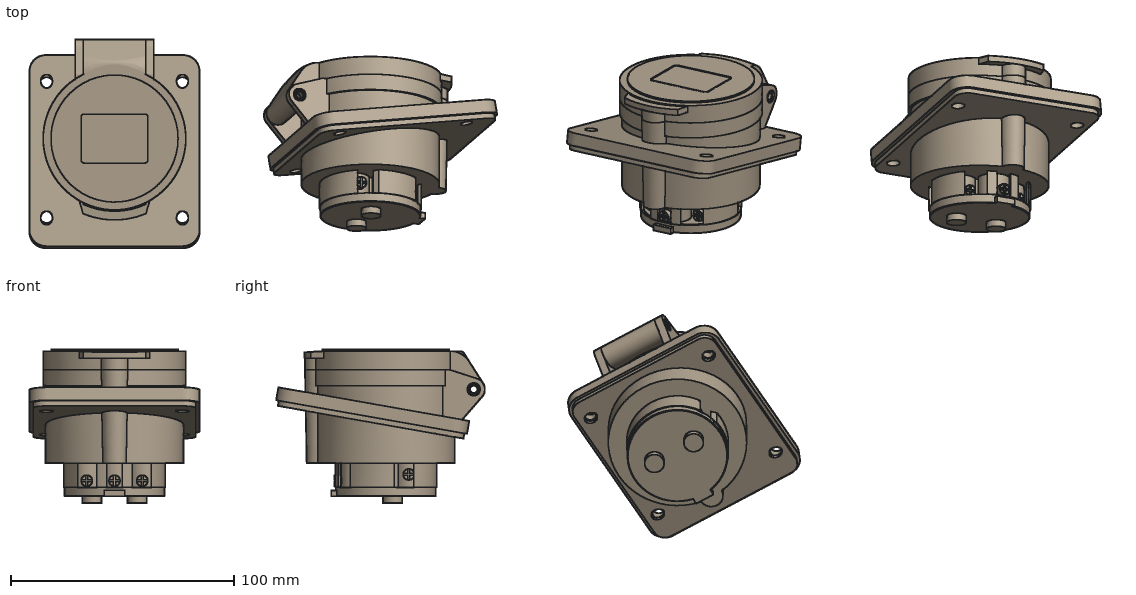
import cadquery as cq
import math

PIN_TIP_Z = 0.0
INSERT_BASE_Z = 3.05
TERMINAL_BASE_Z = 7.1
HOUSING_BASE_Z = 17.95
COLLAR_BASE_Z = 52.7
LID_BASE_Z = 59.85
LID_TOP_Z = 68.2
LABEL_DISC_TOP_Z = 68.95

HOUSING_RADIUS = 31.0
COLLAR_RADIUS = 32.0
LABEL_DISC_RADIUS = 57 / 2

LOBE_Y = -30.3
LOBE_RADIUS = 6.0
LOBE_FOOT_RADIUS = 10.5 / 2
LOBE_TAPER_TOP_Z = 58.25

FLANGE_TILT = 10.0
FLANGE_CENTRE_Y = -5.35
FLANGE_CENTRE_Z = 44.45
FLANGE_WIDTH = 76.4
FLANGE_LENGTH = 87.0
FLANGE_THICKNESS = 5.9
FLANGE_CORNER_RADIUS = 7.5
SEAL_STEP_THICKNESS = 2.4
SEAL_STEP_INSET_X = 1.7
SEAL_STEP_INSET_Y = 1.2
MOUNT_OVAL_WIDTH = 5.25
MOUNT_OVAL_LENGTH = 6.0
MOUNT_OVAL_X = 30.45
MOUNT_OVAL_PLACES = ((25.7, 24.8), (-35.65, -35.2))

HINGE_Y = 39.42
HINGE_Z = 51.05
HINGE_RADIUS = 5.05
HINGE_BLOCK_WIDTH = 27.8
CHEEK_THICKNESS = 3.7
CHEEK_TOP_CORNER_Y = 28.6
CHEEK_LOWER_EDGE_ANGLE = 49.0
CHEEK_FOOT_Z = 36.0
HINGE_BORE = 3.25
HINGE_RECESS_RIM = 5.75
HINGE_RECESS_FLOOR = 4.5
HINGE_RECESS_DEPTH = 0.5
BLOCK_TOP_CORNER_Y = 34.45
BLOCK_UNDERSIDE_Y = 28.6
BLOCK_UNDERSIDE_Z = 57.0
BLEND_SETBACK_MIDDLE = 1.2
BLEND_SETBACK_SIDE = 5.6

LABEL_WIDTH = 30.0
LABEL_HEIGHT = 22.0
LABEL_CORNER_RADIUS = 1.5
LABEL_DEPTH = 0.4
TAB_RADIUS = 36.5
TAB_ROOT_HALF_WIDTH = 16.15
TAB_ROOT_Y = -26.6
TAB_TIP_HALF_WIDTH = 14.1
TAB_ROOT_RADIUS = 32.6
TAB_BASE_Z = 65.05
TAB_ROOT_RIM_Z = 68.0
TAB_ROOT_Z = 68.1
TAB_TIP_Z = 67.75

TERMINAL_RADIUS = 22.85
INSERT_FLANGE_RADIUS = 45 / 2
INSERT_EDGE_CHAMFER = 0.3
KEY_WIDTH = 9.0
KEY_TIP_Y = -24.5
KEY_TOP_Z = 5.8
PIN_DIAMETER = 8.75
PIN_X = 10.15
PIN_Y = 3.1
TERMINAL_BORE_RADIUS = 42.5 / 2
FLOOR_RECESS_DEPTH = 0.2
CORE_RADIUS = 10.0
TOWER_RADIUS = 14.15 / 2
TOWER_PITCH_RADIUS = 13.1
TOWER_COUNT = 5
SCREW_DIAMETER = 5.0
SCREW_HEAD_HEIGHT = 3.0
SCREW_CROSS_WIDTH = 0.9
SCREW_CROSS_DEPTH = 0.4
FRONT_SCREW_Z = 10.1
SIDE_SCREW_Z = 12.9
MIDDLE_WINDOW_HALF_WIDTH = 3.5
OUTER_WINDOW = (-16.4, -8.0)
OUTER_SCREW_X = -12.45
SIDE_SCREW_Y = 10.3
SIDE_WINDOW = (-12.5, -3.7)
OUTER_WINDOW_SLANT = 1.15
SIDE_WINDOW_SLANT = -0.95



def cylinder(radius, base_z, top_z, x=0.0, y=0.0):
    """Upright cylinder between two levels."""
    return cq.Workplane("XY", origin=(x, y, base_z)).circle(radius).extrude(top_z - base_z)


def extrude_across(outline, x_start, x_end):
    """Extrude a closed YZ outline along X."""
    return outline.extrude(x_end - x_start).translate((x_start, 0, 0))


def hinge_point(angle):
    """Point of the hinge knuckle at an angle measured from +Y towards +Z."""
    a = math.radians(angle)
    return (HINGE_Y + HINGE_RADIUS * math.cos(a), HINGE_Z + HINGE_RADIUS * math.sin(a))


def tangent_angle(point, side):
    """Knuckle angle at which a line from the point touches it; side +1 or -1 picks the tangent."""
    dy = point[0] - HINGE_Y
    dz = point[1] - HINGE_Z
    towards_point = math.degrees(math.atan2(dz, dy))
    return towards_point + side * math.degrees(math.acos(HINGE_RADIUS / math.hypot(dy, dz)))


def hinge_outline(upper_corner, lower_angle, *rest):
    """Knuckle outline: upper edge from a corner, round the knuckle, then on through the other points."""
    upper_angle = tangent_angle(upper_corner, -1)
    outline = (
        cq.Workplane("YZ")
        .moveTo(*upper_corner)
        .lineTo(*hinge_point(upper_angle))
        .threePointArc(hinge_point((upper_angle + lower_angle) / 2), hinge_point(lower_angle))
    )
    for point in rest:
        outline = outline.lineTo(*point)
    return outline.close()


def hinge_bore():
    half = HINGE_BLOCK_WIDTH / 2 + CHEEK_THICKNESS
    bore = cq.Workplane("YZ").center(HINGE_Y, HINGE_Z).circle(HINGE_BORE / 2)
    return extrude_across(bore, -half, half)


def flange_plane(depth):
    """Work plane parallel to the flange's upper face, lowered by a depth."""
    tilt = math.radians(FLANGE_TILT)
    normal = cq.Vector(0, math.sin(tilt), math.cos(tilt))
    centre = cq.Vector(0, FLANGE_CENTRE_Y, FLANGE_CENTRE_Z) - normal * depth
    return cq.Workplane(cq.Plane(origin=centre, xDir=(1, 0, 0), normal=normal))


def mounting_ovals(place_y, length_x, length_y):
    """Pair of upright oval cutters, one on each side, tall enough to pass through the flange."""
    return (
        cq.Workplane("XY", origin=(0, place_y, HOUSING_BASE_Z))
        .pushPoints([(-MOUNT_OVAL_X, 0), (MOUNT_OVAL_X, 0)])
        .ellipse(length_x / 2, length_y / 2)
        .extrude(LID_BASE_Z - HOUSING_BASE_Z)
    )


def mounting_flange():
    """Tilted plate and its seal step, each with its own crossing set of oval mounting holes."""
    corner_edges = cq.selectors.ParallelDirSelector(flange_plane(0).plane.zDir)
    plate = (
        flange_plane(FLANGE_THICKNESS)
        .rect(FLANGE_WIDTH, FLANGE_LENGTH)
        .extrude(FLANGE_THICKNESS)
        .edges(corner_edges)
        .fillet(FLANGE_CORNER_RADIUS)
    )
    step = (
        flange_plane(FLANGE_THICKNESS + SEAL_STEP_THICKNESS)
        .rect(FLANGE_WIDTH - 2 * SEAL_STEP_INSET_X, FLANGE_LENGTH - 2 * SEAL_STEP_INSET_Y)
        .extrude(SEAL_STEP_THICKNESS)
        .edges(corner_edges)
        .fillet(FLANGE_CORNER_RADIUS - SEAL_STEP_INSET_X)
    )
    for plate_oval_y, step_oval_y in MOUNT_OVAL_PLACES:
        plate = plate.cut(mounting_ovals(plate_oval_y, MOUNT_OVAL_WIDTH, MOUNT_OVAL_LENGTH))
        step = step.cut(mounting_ovals(step_oval_y, MOUNT_OVAL_LENGTH, MOUNT_OVAL_WIDTH))
    return plate.union(step)


def housing_lobe():
    taper_height = LOBE_TAPER_TOP_Z - HOUSING_BASE_Z
    foot = cq.Vector(0, LOBE_Y, HOUSING_BASE_Z)
    taper = cq.Solid.makeCone(LOBE_FOOT_RADIUS, LOBE_RADIUS, taper_height, foot)
    head = cylinder(LOBE_RADIUS, LOBE_TAPER_TOP_Z, LID_BASE_Z, y=LOBE_Y)
    return head.union(cq.Workplane(taper))


def hinge_cheek(side):
    """Hinge cheek on one side, with a conical recess round the bore in its outer face."""
    lower_angle = CHEEK_LOWER_EDGE_ANGLE - 90
    lower_y, lower_z = hinge_point(lower_angle)
    foot_y = lower_y - (lower_z - CHEEK_FOOT_Z) / math.tan(math.radians(CHEEK_LOWER_EDGE_ANGLE))
    outline = hinge_outline(
        (CHEEK_TOP_CORNER_Y, LID_BASE_Z),
        lower_angle,
        (foot_y, CHEEK_FOOT_Z),
        (0, CHEEK_FOOT_Z),
        (0, LID_BASE_Z),
    )
    inner_x = HINGE_BLOCK_WIDTH / 2
    outer_x = inner_x + CHEEK_THICKNESS
    recess = cq.Solid.makeCone(
        HINGE_RECESS_FLOOR / 2,
        HINGE_RECESS_RIM / 2,
        HINGE_RECESS_DEPTH,
        cq.Vector(outer_x - HINGE_RECESS_DEPTH, HINGE_Y, HINGE_Z),
        cq.Vector(1, 0, 0),
    )
    cheek = extrude_across(outline, inner_x, outer_x).cut(cq.Workplane(recess))
    return cheek if side > 0 else cheek.mirror("YZ")


def make_housing():
    housing = (
        cylinder(HOUSING_RADIUS, HOUSING_BASE_Z, COLLAR_BASE_Z)
        .union(cylinder(COLLAR_RADIUS, COLLAR_BASE_Z, LID_BASE_Z))
        .union(mounting_flange())
        .union(housing_lobe())
    )
    for side in (-1, 1):
        housing = housing.union(hinge_cheek(side))
    return housing.cut(hinge_bore())


def block_blend():
    """Waste above the rounded rear top edge of the hinge block, widening towards both sides."""
    corner = cq.Vector(0, BLOCK_TOP_CORNER_Y, LID_TOP_Z)
    touch_y, touch_z = hinge_point(tangent_angle((corner.y, corner.z), -1))
    down = (cq.Vector(0, touch_y, touch_z) - corner).normalized()
    back = cq.Vector(0, -1, 0)
    half_angle = back.getAngle(down) / 2
    bisector = (back + down).normalized()
    half = HINGE_BLOCK_WIDTH / 2
    sections = []
    for x, setback in ((-half, BLEND_SETBACK_SIDE), (0, BLEND_SETBACK_MIDDLE), (half, BLEND_SETBACK_SIDE)):
        apex = corner + cq.Vector(x, 0, 0)
        top = apex + back * setback
        slope = apex + down * setback
        radius = setback * math.tan(half_angle)
        middle = apex + bisector * (setback / math.cos(half_angle) - radius)
        sections.append(
            cq.Wire.assembleEdges([
                cq.Edge.makeLine(top, apex),
                cq.Edge.makeLine(apex, slope),
                cq.Edge.makeThreePointArc(slope, middle, top),
            ])
        )
    return cq.Workplane(cq.Solid.makeLoft(sections))


def hinge_block():
    underside = (BLOCK_UNDERSIDE_Y, BLOCK_UNDERSIDE_Z)
    outline = hinge_outline(
        (BLOCK_TOP_CORNER_Y, LID_TOP_Z),
        tangent_angle(underside, 1) - 360,
        underside,
        (BLOCK_UNDERSIDE_Y, LID_BASE_Z),
        (0, LID_BASE_Z),
        (0, LID_TOP_Z),
    )
    half = HINGE_BLOCK_WIDTH / 2
    collar_space = cylinder(COLLAR_RADIUS, COLLAR_BASE_Z, LID_BASE_Z)
    return extrude_across(outline, -half, half).cut(block_blend()).cut(collar_space)


def finger_tab():
    """Thumb tab with an arc-shaped front and a top that falls gently outwards."""
    tip_y = -math.sqrt(TAB_RADIUS**2 - TAB_TIP_HALF_WIDTH**2)
    plan = (
        cq.Workplane("XY", origin=(0, 0, TAB_BASE_Z))
        .moveTo(-TAB_ROOT_HALF_WIDTH, TAB_ROOT_Y)
        .lineTo(-TAB_TIP_HALF_WIDTH, tip_y)
        .threePointArc((0, -TAB_RADIUS), (TAB_TIP_HALF_WIDTH, tip_y))
        .lineTo(TAB_ROOT_HALF_WIDTH, TAB_ROOT_Y)
        .close()
        .extrude(LID_TOP_Z - TAB_BASE_Z)
    )
    side = (
        cq.Workplane("YZ")
        .moveTo(TAB_ROOT_Y, TAB_BASE_Z)
        .lineTo(TAB_ROOT_Y, TAB_ROOT_Z)
        .lineTo(-TAB_RADIUS, TAB_TIP_Z)
        .lineTo(-TAB_RADIUS, TAB_BASE_Z)
        .close()
    )
    tab = plan.intersect(extrude_across(side, -TAB_ROOT_HALF_WIDTH, TAB_ROOT_HALF_WIDTH))
    root_rim = plan.intersect(cylinder(TAB_ROOT_RADIUS, TAB_BASE_Z, TAB_ROOT_RIM_Z))
    return tab.union(root_rim)


def make_lid():
    label = (
        cq.Workplane("XY", origin=(0, 0, LABEL_DISC_TOP_Z - LABEL_DEPTH))
        .rect(LABEL_WIDTH, LABEL_HEIGHT)
        .extrude(LABEL_DEPTH)
        .edges("|Z")
        .fillet(LABEL_CORNER_RADIUS)
    )
    return (
        cylinder(COLLAR_RADIUS, LID_BASE_Z, LID_TOP_Z)
        .union(hinge_block())
        .union(cylinder(LABEL_DISC_RADIUS, LID_TOP_Z, LABEL_DISC_TOP_Z))
        .union(cylinder(LOBE_RADIUS, LID_BASE_Z, TAB_BASE_Z, y=LOBE_Y))
        .union(finger_tab())
        .cut(label)
        .cut(hinge_bore())
    )


def tower_centre(number):
    """Centre of a terminal tower, counted clockwise from the one at the front."""
    angle = math.radians(-90 - number * 360 / TOWER_COUNT)
    return (TOWER_PITCH_RADIUS * math.cos(angle), TOWER_PITCH_RADIUS * math.sin(angle))


def front_window(start_x, end_x, end_slant=0.0):
    """Cutter that opens the front of the terminal ring; its end wall may run at a slant."""
    outer_y = -TERMINAL_RADIUS
    inner_y = -math.sqrt(TERMINAL_BORE_RADIUS**2 - start_x**2)
    rim_y = -math.sqrt(TERMINAL_RADIUS**2 - end_x**2)
    return (
        cq.Workplane("XY", origin=(0, 0, TERMINAL_BASE_Z))
        .moveTo(start_x, outer_y)
        .lineTo(end_x + end_slant * (outer_y - rim_y), outer_y)
        .lineTo(end_x + end_slant * (inner_y - rim_y), inner_y)
        .lineTo(start_x, inner_y)
        .close()
        .extrude(HOUSING_BASE_Z - TERMINAL_BASE_Z)
    )


def front_screw(x, height, tower_x, tower_y):
    """Cross-head screw facing -Y, standing on the round front of a tower."""
    tower_front_y = tower_y - math.sqrt(TOWER_RADIUS**2 - (x - tower_x) ** 2)
    face = cq.Workplane("XZ", origin=(x, tower_front_y - SCREW_HEAD_HEIGHT, height))
    head = face.circle(SCREW_DIAMETER / 2).extrude(tower_front_y - SCREW_HEAD_HEIGHT - tower_y)
    for size in ((SCREW_CROSS_WIDTH, SCREW_DIAMETER), (SCREW_DIAMETER, SCREW_CROSS_WIDTH)):
        head = head.cut(face.rect(*size).extrude(-SCREW_CROSS_DEPTH))
    return head


def turn_to_left(shape):
    """Turn a feature that faces -Y so that it faces -X; its X becomes -Y."""
    return shape.rotate((0, 0, 0), (0, 0, 1), -90)


def terminal_ring():
    """Thin ring with five windows."""
    ring = cylinder(TERMINAL_RADIUS, TERMINAL_BASE_Z, HOUSING_BASE_Z)
    ring = ring.cut(cylinder(TERMINAL_BORE_RADIUS, TERMINAL_BASE_Z, HOUSING_BASE_Z))
    middle_window = front_window(-MIDDLE_WINDOW_HALF_WIDTH, MIDDLE_WINDOW_HALF_WIDTH)
    ring = ring.cut(middle_window)
    outer_window = front_window(*OUTER_WINDOW, OUTER_WINDOW_SLANT)
    side_window = turn_to_left(front_window(*SIDE_WINDOW, SIDE_WINDOW_SLANT))
    for window in (outer_window, side_window):
        ring = ring.cut(window).cut(window.mirror("YZ"))
    return ring


def terminal_screws():
    """Middle screw, and the outer and side screws with their mirror images."""
    outer = front_screw(OUTER_SCREW_X, FRONT_SCREW_Z, *tower_centre(1))
    tower_x, tower_y = tower_centre(2)
    side = turn_to_left(front_screw(-SIDE_SCREW_Y, SIDE_SCREW_Z, -tower_y, tower_x))
    screws = [front_screw(0, FRONT_SCREW_Z, *tower_centre(0))]
    for screw in (outer, side):
        screws += [screw, screw.mirror("YZ")]
    return screws


def make_insert():
    base = cylinder(INSERT_FLANGE_RADIUS, INSERT_BASE_Z, TERMINAL_BASE_Z)
    insert = base.faces("<Z").chamfer(INSERT_EDGE_CHAMFER)
    floor_z = TERMINAL_BASE_Z - FLOOR_RECESS_DEPTH
    insert = insert.cut(cylinder(TERMINAL_BORE_RADIUS, floor_z, TERMINAL_BASE_Z))
    insert = insert.union(terminal_ring())
    insert = insert.union(cylinder(CORE_RADIUS, floor_z, HOUSING_BASE_Z))
    for number in range(TOWER_COUNT):
        insert = insert.union(cylinder(TOWER_RADIUS, floor_z, HOUSING_BASE_Z, *tower_centre(number)))
    for screw in terminal_screws():
        insert = insert.union(screw)
    key = cq.Workplane("XY", origin=(0, KEY_TIP_Y / 2, INSERT_BASE_Z)).rect(KEY_WIDTH, -KEY_TIP_Y)
    insert = insert.union(key.extrude(KEY_TOP_Z - INSERT_BASE_Z))
    for x in (-PIN_X, PIN_X):
        insert = insert.union(cylinder(PIN_DIAMETER / 2, PIN_TIP_Z, INSERT_BASE_Z, x, PIN_Y))
    return insert


housing = make_housing()
lid = make_lid()
insert = make_insert()

result = cq.Compound.makeCompound([housing.solids().val(), lid.solids().val(), insert.solids().val()])